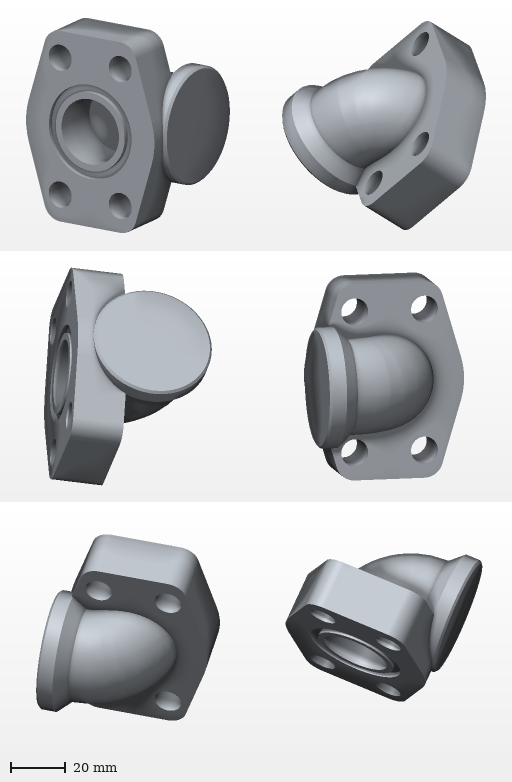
import cadquery as cq
import math

flange_thickness = 19.0
flange_height = 73.0
waist_radius = 27.95
corner_radius = 7.0
bolt_x = 13.1
bolt_z = 26.2
bolt_hole_diameter = 10.0

port_diameter = 25.05
groove_inner_diameter = 30.0
groove_outer_diameter = 36.0
groove_depth = 2.0
port_depth = flange_thickness

pipe_radius = 17.6
outlet_y = 27.95
bend_end_x = 17.75
bend_start_y = outlet_y - bend_end_x

collar_radius = 22.2
collar_start_x = 22.8
collar_end_x = 29.05
collar_chamfer = 0.9


def make_flange():
    """Plate outlined by a waist circle and four corner arcs joined by tangent lines."""
    corner_x = bolt_x
    corner_z = flange_height / 2 - corner_radius
    normal = math.atan2(corner_z, corner_x) - math.acos(
        (waist_radius - corner_radius) / math.hypot(corner_x, corner_z)
    )

    def corner_point(angle):
        return (
            corner_x + corner_radius * math.cos(angle),
            corner_z + corner_radius * math.sin(angle),
        )

    side_x, side_z = corner_point(normal)
    middle_x, middle_z = corner_point((normal + math.pi / 2) / 2)
    waist_x = waist_radius * math.cos(normal)
    waist_z = waist_radius * math.sin(normal)
    top_z = flange_height / 2

    return (
        cq.Workplane("XZ")
        .moveTo(-corner_x, top_z)
        .lineTo(corner_x, top_z)
        .threePointArc((middle_x, middle_z), (side_x, side_z))
        .lineTo(waist_x, waist_z)
        .threePointArc((waist_radius, 0), (waist_x, -waist_z))
        .lineTo(side_x, -side_z)
        .threePointArc((middle_x, -middle_z), (corner_x, -top_z))
        .lineTo(-corner_x, -top_z)
        .threePointArc((-middle_x, -middle_z), (-side_x, -side_z))
        .lineTo(-waist_x, -waist_z)
        .threePointArc((-waist_radius, 0), (-waist_x, waist_z))
        .lineTo(-side_x, side_z)
        .threePointArc((-middle_x, middle_z), (-corner_x, top_z))
        .close()
        .extrude(-flange_thickness)
    )


def make_elbow():
    """Solid quarter bend about a Z axis, tight enough to touch the pipe wall."""
    stub = cq.Workplane("XZ").circle(pipe_radius).extrude(-bend_start_y)
    bend = (
        cq.Workplane("XZ", origin=(0, bend_start_y, 0))
        .circle(pipe_radius)
        .revolve(90, (bend_end_x, 0, 0), (bend_end_x, -1, 0))
    )
    return stub.union(bend)


def make_collar():
    """Cone, cylinder and end chamfer turned about the outlet axis."""
    return (
        cq.Workplane("XY")
        .moveTo(bend_end_x, outlet_y)
        .lineTo(bend_end_x, outlet_y + pipe_radius)
        .lineTo(collar_start_x, outlet_y + collar_radius)
        .lineTo(collar_end_x - collar_chamfer, outlet_y + collar_radius)
        .lineTo(collar_end_x, outlet_y + collar_radius - collar_chamfer)
        .lineTo(collar_end_x, outlet_y)
        .close()
        .revolve(360, (0, outlet_y, 0), (1, outlet_y, 0))
    )


def make_bolt_holes():
    return (
        cq.Workplane("XZ")
        .rect(2 * bolt_x, 2 * bolt_z, forConstruction=True)
        .vertices()
        .circle(bolt_hole_diameter / 2)
        .extrude(-flange_thickness)
    )


def make_port():
    return cq.Workplane("XZ").circle(port_diameter / 2).extrude(-port_depth)


def make_seal_groove():
    return (
        cq.Workplane("XZ")
        .circle(groove_outer_diameter / 2)
        .circle(groove_inner_diameter / 2)
        .extrude(-groove_depth)
    )


body = make_flange().union(make_elbow()).union(make_collar())
result = body.cut(make_bolt_holes()).cut(make_port()).cut(make_seal_groove())